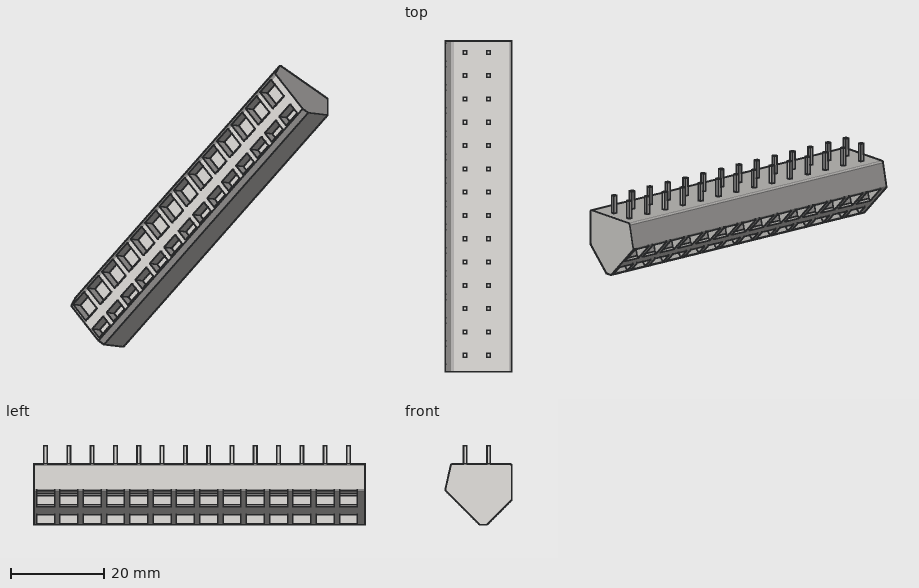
import cadquery as cq
import math

length = 71
width = 14.3
height = 13.05
corner_radius = 0.4
flank_lean = 12.8
entry_angle = 45
flank_bottom = 7.45
back_bottom = 5.3

positions = 14
first_offset = 2.5
contact_span = 65.0
pitch = contact_span / (positions - 1)
pin_size = 0.8
pin_length = 3.9
pin_columns = (4.25, 9.3)

pocket_size = 3.8
pocket_depth = 2.9
wire_pocket_start = 0.15
release_pocket_start = 7.5
release_pocket_height = 2.7
lead_in_land = 0.6
lead_in_width = 1.1

select_margin = 0.7

slope = math.radians(entry_angle)
lean = math.radians(flank_lean)

half_turn = (lean + slope) / 2
corner_x = corner_radius - corner_radius / math.cos(half_turn) * math.cos(slope - half_turn)

contact_ys = [length / 2 - first_offset - i * pitch for i in range(positions)]


def make_housing():
    outline = [
        (corner_x, flank_bottom),
        (corner_x + (height - flank_bottom) * math.tan(lean), height),
        (width, height),
        (width, back_bottom),
        (width - back_bottom / math.tan(slope), 0),
        (corner_x + flank_bottom / math.tan(slope), 0),
    ]
    bar = cq.Workplane("XZ").polyline(outline).close().extrude(length / 2, both=True)
    rounded_corners = cq.selectors.BoxSelector(
        (corner_x - select_margin, -select_margin, flank_bottom - select_margin),
        (width + select_margin, select_margin, height + select_margin),
    )
    return bar.edges("|Y").edges(rounded_corners).fillet(corner_radius)


def cut_along_face(outline, y):
    entry_plane = cq.Plane(
        origin=(corner_x, y, flank_bottom),
        xDir=(math.cos(slope), 0, -math.sin(slope)),
        normal=(0, -1, 0),
    )
    return cq.Workplane(entry_plane).polyline(outline).close().extrude(pocket_size / 2, both=True)


def wire_pocket(y):
    inner_end = wire_pocket_start + pocket_size
    outer_end = inner_end + lead_in_width
    return cut_along_face(
        [
            (wire_pocket_start, 0),
            (wire_pocket_start, pocket_depth),
            (inner_end, pocket_depth),
            (inner_end, pocket_depth - lead_in_land),
            (outer_end, lead_in_land),
            (outer_end, 0),
        ],
        y,
    )


def release_pocket(y):
    end = release_pocket_start + release_pocket_height
    return cut_along_face(
        [
            (release_pocket_start, 0),
            (release_pocket_start, pocket_depth),
            (end, pocket_depth),
            (end, 0),
        ],
        y,
    )


result = make_housing()
for contact_y in contact_ys:
    result = result.cut(wire_pocket(contact_y)).cut(release_pocket(contact_y))

pin_points = [(x, y) for x in pin_columns for y in contact_ys]
pin_base = cq.Workplane("XY", origin=(0, 0, height))
pins = pin_base.pushPoints(pin_points).rect(pin_size, pin_size).extrude(pin_length)
result = result.union(pins)